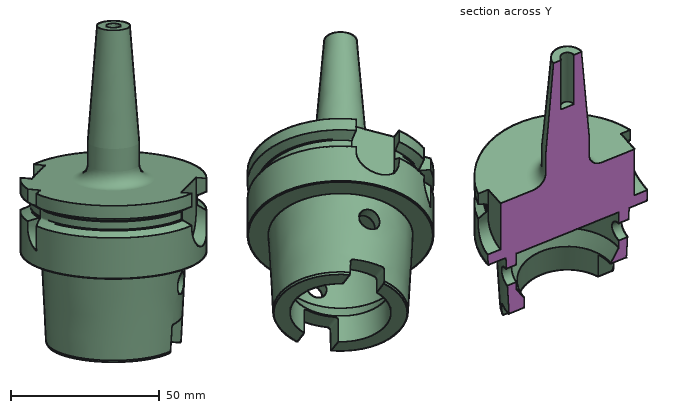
import cadquery as cq
import math

TOTAL_HEIGHT = 112.0
FLANGE_BOTTOM = 32.0
FLANGE_TOP = 58.0

SHANK_TOP_RADIUS = 24.4
SHANK_TAPER = 0.05
SHANK_CHAMFER_HEIGHT = 0.8
SHANK_CHAMFER_INSET = 0.3
MOUTH_RADIUS = 17.0
MOUTH_DEPTH = 10.6
CHAMBER_RADIUS = 20.2
CHAMBER_SLOPE = math.radians(30)

FLANGE_RADIUS = 31.5
FLANGE_CHAMFER = 0.3
GROOVE_RADIUS = 28.2
GROOVE_NECK_BOTTOM = 48.4
GROOVE_NECK_TOP = 51.6
GROOVE_FLANK_ANGLE = math.radians(28)
GROOVE_FILLET = 0.5

STEM_RADIUS = 8.7
STEM_TOP = 71.1
STEM_FILLET = 5.0
TIP_RADIUS = 5.6
TIP_BORE_RADIUS = 2.5
TIP_BORE_DEPTH = 22.4

SLOT_FLOOR_X = 26.4
SLOT_BOTTOM = 37.1
LEFT_SLOT_RADIUS = 8.0
RIGHT_SLOT_RADIUS = 9.0
CORNER_NOTCH_X = -19.9
CORNER_NOTCH_Y = -19.9

CROSS_HOLE_RADIUS = 3.8
CROSS_HOLE_HEIGHT = 23.2
DRIVE_SLOT_WIDTH = 12.5
DRIVE_SLOT_FILLET = 1.0
LEFT_DRIVE_SLOT_HEIGHT = 6.0
RIGHT_DRIVE_SLOT_HEIGHT = 10.1

CUT_REACH = FLANGE_RADIUS + 5.6


def turned_body():
    """Outside of the holder, revolved about Z."""
    bottom_radius = SHANK_TOP_RADIUS - SHANK_TAPER * FLANGE_BOTTOM
    flank_height = (FLANGE_RADIUS - GROOVE_RADIUS) * math.tan(GROOVE_FLANK_ANGLE)
    fillet_middle = STEM_FILLET * (1 - math.sqrt(0.5))
    return (
        cq.Workplane("XZ")
        .lineTo(bottom_radius - SHANK_CHAMFER_INSET, 0)
        .lineTo(bottom_radius + SHANK_TAPER * SHANK_CHAMFER_HEIGHT, SHANK_CHAMFER_HEIGHT)
        .lineTo(SHANK_TOP_RADIUS, FLANGE_BOTTOM)
        .lineTo(FLANGE_RADIUS - FLANGE_CHAMFER, FLANGE_BOTTOM)
        .lineTo(FLANGE_RADIUS, FLANGE_BOTTOM + FLANGE_CHAMFER)
        .lineTo(FLANGE_RADIUS, GROOVE_NECK_BOTTOM - flank_height)
        .lineTo(GROOVE_RADIUS, GROOVE_NECK_BOTTOM)
        .lineTo(GROOVE_RADIUS, GROOVE_NECK_TOP)
        .lineTo(FLANGE_RADIUS, GROOVE_NECK_TOP + flank_height)
        .lineTo(FLANGE_RADIUS, FLANGE_TOP)
        .lineTo(STEM_RADIUS + STEM_FILLET, FLANGE_TOP)
        .threePointArc(
            (STEM_RADIUS + fillet_middle, FLANGE_TOP + fillet_middle),
            (STEM_RADIUS, FLANGE_TOP + STEM_FILLET),
        )
        .lineTo(STEM_RADIUS, STEM_TOP)
        .lineTo(TIP_RADIUS, TOTAL_HEIGHT)
        .lineTo(0, TOTAL_HEIGHT)
        .close()
        .revolve(360, (0, 0, 0), (0, 1, 0))
    )


def round_groove_corners(body):
    """Small fillets where the groove neck meets its flanks."""
    margin = GROOVE_FILLET
    neck_zone = cq.selectors.BoxSelector(
        (-FLANGE_RADIUS, -FLANGE_RADIUS, GROOVE_NECK_BOTTOM - margin),
        (FLANGE_RADIUS, FLANGE_RADIUS, GROOVE_NECK_TOP + margin),
    )
    return body.edges(neck_zone).edges("%CIRCLE").fillet(GROOVE_FILLET)


def shank_cavity():
    """Hollow of the shank: a straight mouth that flares into a wider chamber."""
    flare_height = (CHAMBER_RADIUS - MOUTH_RADIUS) / math.tan(CHAMBER_SLOPE)
    return (
        cq.Workplane("XZ")
        .lineTo(MOUTH_RADIUS, 0)
        .lineTo(MOUTH_RADIUS, MOUTH_DEPTH)
        .lineTo(CHAMBER_RADIUS, MOUTH_DEPTH + flare_height)
        .lineTo(CHAMBER_RADIUS, FLANGE_BOTTOM)
        .lineTo(0, FLANGE_BOTTOM)
        .close()
        .revolve(360, (0, 0, 0), (0, 1, 0))
    )


def tip_bore():
    return (
        cq.Workplane("XY")
        .workplane(offset=TOTAL_HEIGHT - TIP_BORE_DEPTH)
        .circle(TIP_BORE_RADIUS)
        .extrude(TIP_BORE_DEPTH)
    )


def round_bottom_slot(x_start, direction, center_y, radius):
    """Slot with a round bottom, open at the flange top, cut outward along X from x_start."""
    arc_center_height = SLOT_BOTTOM + radius
    return (
        cq.Workplane("YZ", origin=(x_start, center_y, 0))
        .moveTo(-radius, FLANGE_TOP)
        .lineTo(-radius, arc_center_height)
        .threePointArc((0, SLOT_BOTTOM), (radius, arc_center_height))
        .lineTo(radius, FLANGE_TOP)
        .close()
        .extrude(direction * CUT_REACH)
    )


def cross_hole():
    return (
        cq.Workplane("YZ", origin=(-CUT_REACH, 0, CROSS_HOLE_HEIGHT))
        .circle(CROSS_HOLE_RADIUS)
        .extrude(2 * CUT_REACH)
    )


def drive_slot(direction, height):
    """Notch in the bottom rim of the shank, through the wall on one side of the axis."""
    return (
        cq.Workplane("XY")
        .box(CUT_REACH, DRIVE_SLOT_WIDTH, height, centered=(True, True, False))
        .edges("|X and >Z")
        .fillet(DRIVE_SLOT_FILLET)
        .translate((direction * CUT_REACH / 2, 0, 0))
    )


cuts = [
    shank_cavity(),
    tip_bore(),
    round_bottom_slot(-SLOT_FLOOR_X, -1, 0, LEFT_SLOT_RADIUS),
    round_bottom_slot(SLOT_FLOOR_X, 1, 0, RIGHT_SLOT_RADIUS),
    round_bottom_slot(CORNER_NOTCH_X, -1, CORNER_NOTCH_Y - LEFT_SLOT_RADIUS, LEFT_SLOT_RADIUS),
    cross_hole(),
    drive_slot(-1, LEFT_DRIVE_SLOT_HEIGHT),
    drive_slot(1, RIGHT_DRIVE_SLOT_HEIGHT),
]

result = round_groove_corners(turned_body())
for cut in cuts:
    result = result.cut(cut)